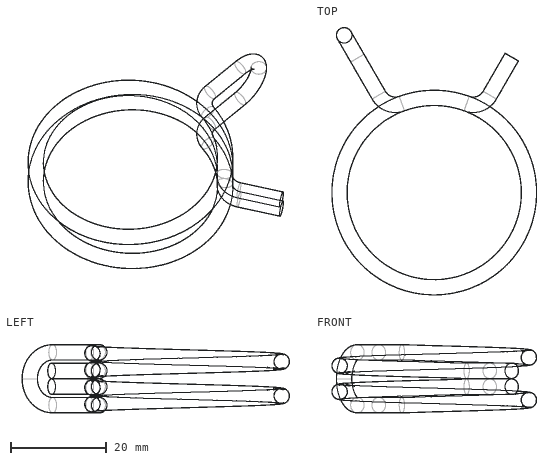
import cadquery as cq
import math


wire_diameter = 3.25
coil_outer_diameter = 42.84
coil_radius = (coil_outer_diameter - wire_diameter) / 2

overall_height = 14.3
loop_height = (overall_height - wire_diameter) / 2
tail_gap = 0.06
tail_height = (wire_diameter + tail_gap) / 2

coil_loop_angle = 110.0
coil_tail_angle = 180.0 - coil_loop_angle
loop_leg_direction = 120.0
bend_radius = 4.0
overall_length = 55.93
loop_tip_y = overall_length - coil_outer_diameter / 2 - wire_diameter / 2
tail_length = 9.2

coil_sweep = 360.0 + coil_loop_angle - coil_tail_angle
coil_segment_count = 40


def polar(radius, angle, z=0.0):
    """Point at the given distance and angle (degrees) from the coil axis."""
    radians = math.radians(angle)
    return cq.Vector(radius * math.cos(radians), radius * math.sin(radians), z)


leg_axis = polar(1.0, loop_leg_direction)


def mirrored_in_x(vector):
    """The vector with its X component reversed, for the tail side of the spring."""
    return cq.Vector(-vector.x, vector.y, vector.z)


def bend_points(z):
    """Start, middle and end of the bend from the coil into the loop leg."""
    center = polar(coil_radius + bend_radius, coil_loop_angle, z)
    start_angle = coil_loop_angle + 180.0
    end_angle = loop_leg_direction + 90.0
    middle_angle = (start_angle + end_angle) / 2
    return [center + polar(bend_radius, angle) for angle in (start_angle, middle_angle, end_angle)]


def coil_edge():
    """Helix from the loop leg down to the tail, easing to level at both ends."""
    points = []
    for step in range(coil_segment_count + 1):
        fraction = step / coil_segment_count
        angle = coil_loop_angle - fraction * coil_sweep
        z = loop_height + fraction * (tail_height - loop_height)
        points.append(polar(coil_radius, angle, z))
    start_tangent = polar(1.0, coil_loop_angle - 90.0)
    end_tangent = polar(1.0, coil_tail_angle - 90.0)
    return cq.Edge.makeSpline(points, tangents=[start_tangent, end_tangent], scale=False)


def loop_edge(tip):
    """Upper quarter of the upright loop, whose radius equals the leg height."""
    center = tip - leg_axis * loop_height
    diagonal = loop_height * math.sqrt(0.5)
    middle = center + leg_axis * diagonal + cq.Vector(0, 0, diagonal)
    end = center + cq.Vector(0, 0, loop_height)
    return cq.Edge.makeThreePointArc(tip, middle, end)


def half_spring():
    """Upper half of the spring, from the loop tip on the mid plane to the tail end."""
    bend_start, bend_middle, bend_end = bend_points(loop_height)
    tail_start, tail_middle, tail_end = [mirrored_in_x(point) for point in bend_points(tail_height)]

    leg_reach = (loop_tip_y - bend_end.y) / leg_axis.y
    loop_tip = cq.Vector(bend_end.x, bend_end.y, 0) + leg_axis * leg_reach
    loop = loop_edge(loop_tip)
    tail_tip = tail_end + mirrored_in_x(leg_axis) * tail_length

    path = cq.Wire.assembleEdges([
        loop,
        cq.Edge.makeLine(loop.endPoint(), bend_end),
        cq.Edge.makeThreePointArc(bend_end, bend_middle, bend_start),
        coil_edge(),
        cq.Edge.makeThreePointArc(tail_start, tail_middle, tail_end),
        cq.Edge.makeLine(tail_end, tail_tip),
    ])
    section = cq.Workplane("XY", origin=loop_tip)
    return section.circle(wire_diameter / 2).sweep(cq.Workplane(path))


upper_half = half_spring()
lower_half = upper_half.mirror("XY")
result = upper_half.union(lower_half).solids()